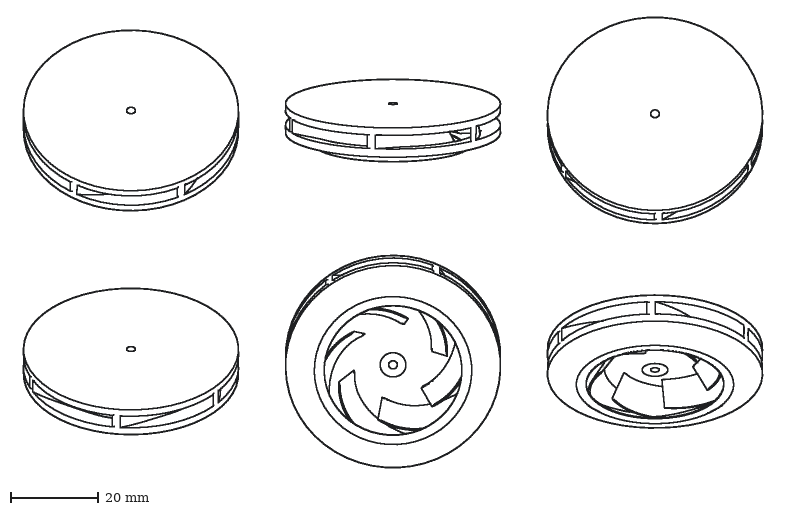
import cadquery as cq
import math

outer_radius = 24.65
height = 9.5
bore_radius = 1.0

plate_thickness = 1.77
channel_height = 3.2
rim_thickness = 1.9
plate_underside = height - plate_thickness
rim_top = plate_underside - channel_height
rim_bottom = rim_top - rim_thickness

hub_radius = 17.75
hub_nose_radius = 2.95
hub_curve_radius = 30.05

shoulder_radius = 20.7
shoulder_drop = 0.45
neck_radius = 18.05
inlet_radius = 15.8
inlet_lip_height = 0.25
neck_slope = (shoulder_radius - neck_radius, rim_bottom - shoulder_drop)

blade_count = 6
first_tip_angle = 30.0
tip_width = 1.85
blade_bottom = 1.0
blade_wrap = 110.0
bottom_radius_ratio = 0.52
top_radius_ratio = 0.32
spiral_points = 9

raw_radius = outer_radius + 0.5


def polar(radius, angle):
    """Point at a radius and an angle in degrees."""
    turn = math.radians(angle)
    return radius * math.cos(turn), radius * math.sin(turn)


def hub_height(radius):
    """Height of the hub arc, which starts tangent to the plate underside."""
    inset = hub_radius - radius
    return plate_underside - hub_curve_radius + math.sqrt(hub_curve_radius**2 - inset**2)


def make_envelope():
    """Outside shape of the impeller, without channel or bore."""
    profile = (
        cq.Workplane("XZ")
        .moveTo(0, height)
        .lineTo(outer_radius, height)
        .lineTo(outer_radius, rim_bottom)
        .spline(
            [(shoulder_radius, rim_bottom - shoulder_drop), (neck_radius, 0)],
            tangents=[(-1, 0), (-neck_slope[0], -neck_slope[1])],
            includeCurrent=True,
        )
        .lineTo(0, 0)
        .close()
    )
    return profile.revolve(360, (0, 0), (0, 1))


def make_channel():
    """Flow space between the hub and the shroud, from the inlet to past the rim."""
    middle_radius = (hub_radius + hub_nose_radius) / 2
    profile = (
        cq.Workplane("XZ")
        .moveTo(0, 0)
        .lineTo(inlet_radius, 0)
        .lineTo(inlet_radius, inlet_lip_height)
        .spline(
            [(shoulder_radius, rim_top - shoulder_drop), (outer_radius, rim_top)],
            tangents=[neck_slope, (1, 0)],
            includeCurrent=True,
        )
        .lineTo(raw_radius, rim_top)
        .lineTo(raw_radius, plate_underside)
        .lineTo(hub_radius, plate_underside)
        .threePointArc(
            (middle_radius, hub_height(middle_radius)),
            (hub_nose_radius, hub_height(hub_nose_radius)),
        )
        .lineTo(0, hub_height(hub_nose_radius))
        .close()
    )
    return profile.revolve(360, (0, 0), (0, 1))


def blade_outline(workplane, radius_ratio):
    """Closed blade section between two equal spirals, one turned ahead of the other."""
    half_tip_angle = math.degrees(math.asin(tip_width / 2 / outer_radius))
    first_step = math.log(raw_radius / outer_radius) / math.log(radius_ratio)
    step_size = (1 - first_step) / (spiral_points - 1)
    steps = [first_step + i * step_size for i in range(spiral_points)]

    def spiral(turn):
        return [polar(outer_radius * radius_ratio**step, turn + blade_wrap * step) for step in steps]

    leading_side = spiral(half_tip_angle)
    trailing_side = spiral(-half_tip_angle)
    return (
        workplane
        .moveTo(*leading_side[0])
        .spline(leading_side[1:], includeCurrent=True)
        .lineTo(*trailing_side[-1])
        .spline(trailing_side[-2::-1], includeCurrent=True)
        .close()
    )


def make_blade():
    """One blade, long enough to cross the channel from shroud to hub."""
    blade_top = plate_underside + plate_thickness / 2
    lower = blade_outline(cq.Workplane("XY", origin=(0, 0, blade_bottom)), bottom_radius_ratio)
    upper_plane = lower.workplane(offset=blade_top - blade_bottom)
    return blade_outline(upper_plane, top_radius_ratio).loft(ruled=True, combine=True)


passages = make_channel()
blade = make_blade()
for index in range(blade_count):
    tip_angle = first_tip_angle + index * 360 / blade_count
    passages = passages.cut(blade.rotate((0, 0, 0), (0, 0, 1), tip_angle))

bore = cq.Workplane("XY").circle(bore_radius).extrude(height)

result = make_envelope().cut(passages).cut(bore)